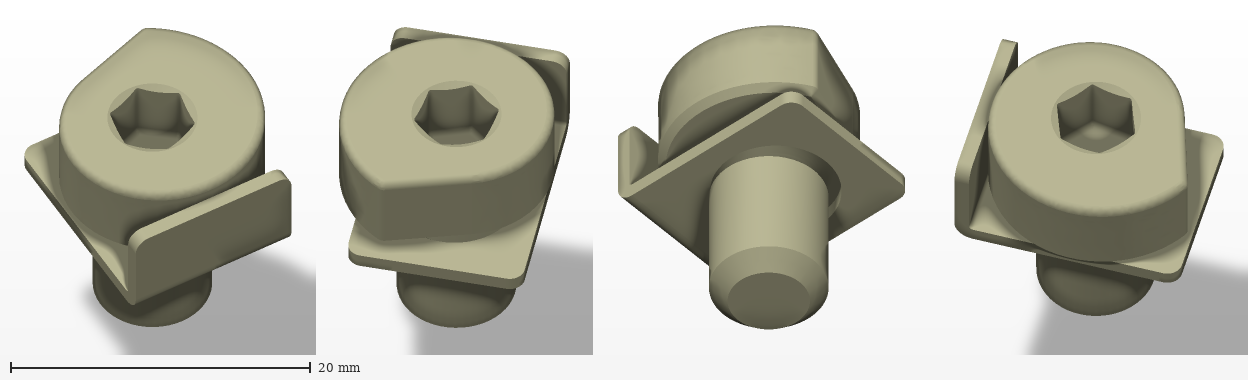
import math
import cadquery as cq

total_height = 18.0
head_height = 6.0
head_bottom = total_height - head_height
shank_radius = 4.0
tip_chamfer = 1.25
neck_radius = 3.3
neck_fillet = 1.0
shank_top = 9.54
neck_bottom = 9.99

cam_radius = 7.083
cam_rise = 0.41
cam_start = math.radians(-158.0)
cam_end = math.radians(154.2)
cam_corner_radius = 0.58
spiral_samples = 40
head_edge = 0.5

hex_across_flats = 5.0
hex_angle = 21.0
hex_depth = 4.5
hex_corner_radius = 0.27
hex_floor_fillet = 0.4
countersink_radius = 3.0
countersink_slope = 30.0

sheet = 1.0
washer_left = -7.38
washer_length = 15.5
washer_right = washer_left + washer_length
washer_width = 12.0
washer_bottom = 9.74
lug_top = 16.74
bend_inner_radius = 0.25
washer_corner_radius = 1.0
washer_hole_radius = 4.4
washer_hole_x = -0.63


def cam_point(fraction):
    """Point on the spiral rim; fraction runs from 0 to 1 along it."""
    angle = cam_start + fraction * (cam_end - cam_start)
    radius = cam_radius + cam_rise * angle
    return radius * math.cos(angle), radius * math.sin(angle)


def make_head():
    """Spiral cam closed by a flat, rounded on top and chamfered below."""
    head = (
        cq.Workplane("XY", origin=(0, 0, head_bottom))
        .parametricCurve(cam_point, N=spiral_samples, makeWire=False)
        .lineTo(*cam_point(0))
        .wire()
        .extrude(head_height)
    )
    tip_x, tip_y = cam_point(1)
    tip_edge = cq.selectors.NearestToPointSelector((tip_x, tip_y, head_bottom + head_height / 2))
    head = head.edges(tip_edge).fillet(cam_corner_radius)
    head = head.faces(">Z").edges().fillet(head_edge)
    return head.faces("<Z").chamfer(head_edge)


def make_shank():
    """Turned shank with a chamfered tip and a neck flaring into the head."""
    fillet_bottom = head_bottom - neck_fillet
    flare_radius = neck_radius + neck_fillet
    arc_offset = neck_fillet * (1 - math.sqrt(0.5))
    return (
        cq.Workplane("XZ")
        .lineTo(shank_radius - tip_chamfer, 0)
        .lineTo(shank_radius, tip_chamfer)
        .lineTo(shank_radius, shank_top)
        .lineTo(neck_radius, neck_bottom)
        .lineTo(neck_radius, fillet_bottom)
        .threePointArc((neck_radius + arc_offset, head_bottom - arc_offset), (flare_radius, head_bottom))
        .lineTo(0, head_bottom)
        .close()
        .revolve(360, (0, 0, 0), (0, 1, 0))
    )


def make_socket():
    """Hexagonal recess with rounded corners and floor, plus its conical lead-in."""
    hexagon = (
        cq.Workplane("XY", origin=(0, 0, total_height - hex_depth))
        .polygon(6, hex_across_flats, circumscribed=True)
        .extrude(hex_depth)
        .edges("|Z").fillet(hex_corner_radius)
        .faces("<Z").edges().fillet(hex_floor_fillet)
        .rotate((0, 0, 0), (0, 0, 1), hex_angle)
    )
    cone_height = countersink_radius * math.tan(math.radians(countersink_slope))
    countersink = cq.Workplane(
        cq.Solid.makeCone(0, countersink_radius, cone_height, pnt=(0, 0, total_height - cone_height))
    )
    return hexagon.union(countersink)


def make_washer():
    """L-bent sheet with a round hole and rounded free corners."""
    washer = (
        cq.Workplane("XZ", origin=(0, washer_width / 2, 0))
        .moveTo(washer_left, washer_bottom)
        .lineTo(washer_right, washer_bottom)
        .lineTo(washer_right, lug_top)
        .lineTo(washer_right - sheet, lug_top)
        .lineTo(washer_right - sheet, washer_bottom + sheet)
        .lineTo(washer_left, washer_bottom + sheet)
        .close()
        .extrude(washer_width)
    )
    inner_bend = cq.selectors.NearestToPointSelector((washer_right - sheet, 0, washer_bottom + sheet))
    outer_bend = cq.selectors.NearestToPointSelector((washer_right, 0, washer_bottom))
    washer = washer.edges(inner_bend).fillet(bend_inner_radius)
    washer = washer.edges(outer_bend).fillet(bend_inner_radius + sheet)
    washer = washer.faces("<X").edges("|Z").fillet(washer_corner_radius)
    washer = washer.faces(">Z").edges("|X").fillet(washer_corner_radius)
    hole = (
        cq.Workplane("XY", origin=(washer_hole_x, 0, washer_bottom))
        .circle(washer_hole_radius)
        .extrude(sheet)
    )
    return washer.cut(hole)


screw = make_head().union(make_shank()).cut(make_socket())
washer = make_washer()

result = cq.Compound.makeCompound([screw.val(), washer.val()])